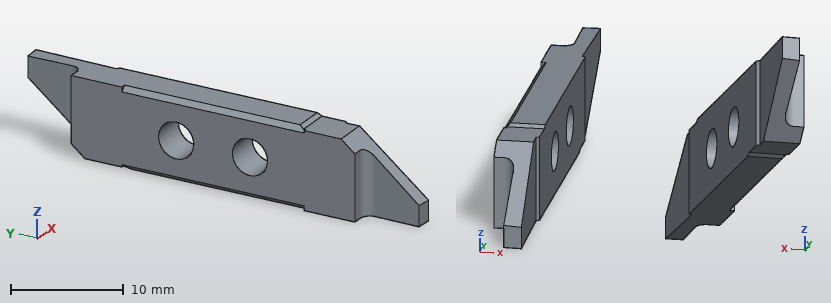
import cadquery as cq

length = 40.0
thickness = 3.6
height = 8.0
half_length = length / 2
half_height = height / 2

tip_height = 2.0
slant_length = 6.95
edge_drop = 0.25
ramp_start = 11.4
ramp_end = 10.9

shoulder = 5.55
shoulder_radius = 0.95
tip_front_end = 1.9
tip_front_root = 1.95
tip_back_end = 3.5
tip_back_root = 3.3
end_skew = 0.1
back_relief = 8.25
back_step = thickness - tip_back_root

bevel_length = 18.55
bevel_size = 0.5
hole_diameter = 3.55
hole_spacing = 7.5


def plan_body():
    """Plan outline, with relieved tips and rounded shoulders."""
    half_outline = [
        (0, half_length - shoulder),
        (tip_front_root, half_length - shoulder),
        (tip_front_end, half_length - end_skew),
        (tip_back_end, half_length),
        (tip_back_root, half_length - back_relief),
        (thickness, half_length - back_relief - back_step),
    ]
    mirrored = [(x, -y) for x, y in reversed(half_outline)]
    body = (
        cq.Workplane("XY")
        .workplane(offset=-half_height)
        .polyline(half_outline + mirrored)
        .close()
        .extrude(height)
    )
    for side in (-1, 1):
        corner = (tip_front_root, side * (half_length - shoulder), 0)
        body = body.edges(cq.selectors.NearestToPointSelector(corner)).fillet(shoulder_radius)
    return body


def side_profile():
    """Parallelogram-like side outline extruded through the thickness."""
    lowered = half_height - edge_drop
    half_outline = [
        (half_length, half_height),
        (ramp_start - half_length, half_height),
        (ramp_end - half_length, lowered),
        (slant_length - half_length, lowered),
        (-half_length, tip_height - half_height),
    ]
    turned = [(-y, -z) for y, z in half_outline]
    return cq.Workplane("YZ").polyline(half_outline + turned).close().extrude(thickness)


def seating_bevel(side):
    """Triangular bar removed from the front face's top or bottom edge."""
    edge_z = side * half_height
    return (
        cq.Workplane("XZ")
        .polyline([(0, edge_z), (bevel_size, edge_z), (0, edge_z - side * bevel_size)])
        .close()
        .extrude(bevel_length / 2, both=True)
    )


def mounting_holes():
    """Two holes through the thickness."""
    centers = [(-hole_spacing / 2, 0), (hole_spacing / 2, 0)]
    return cq.Workplane("YZ").pushPoints(centers).circle(hole_diameter / 2).extrude(thickness)


result = plan_body().intersect(side_profile())
for side in (-1, 1):
    result = result.cut(seating_bevel(side))
result = result.cut(mounting_holes())